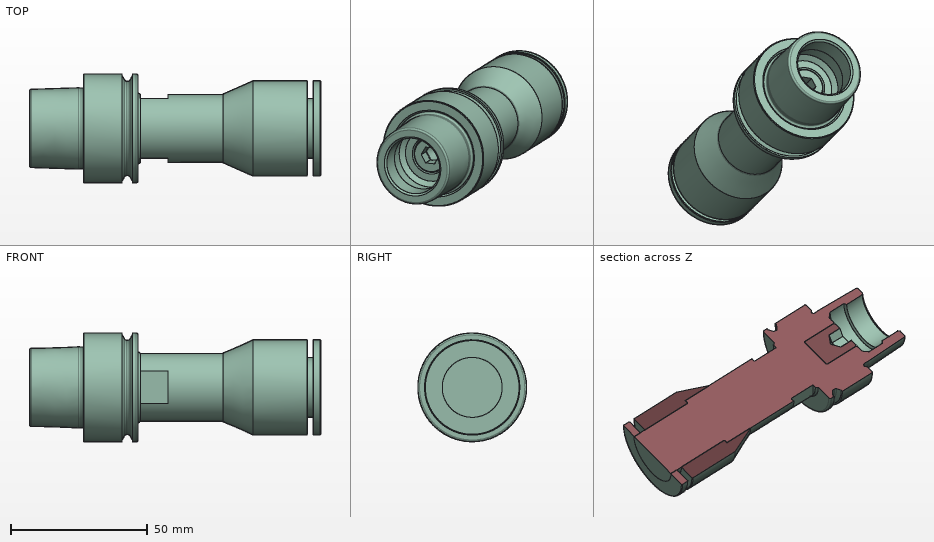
import cadquery as cq
import math


total_length = 106.9
nose_length = 19.7
tip_x = -nose_length
end_x = tip_x + total_length
tip_radius = 28.8 / 2
tip_rounding = 0.7
taper_end_x = -1.7
taper_end_radius = 29.9 / 2
neck_start_x = -0.9
neck_radius = 29.71 / 2
relief_radius = 32.8 / 2
relief_depth = 0.6
relief_corner_rounding = 0.8

flange_radius = 40 / 2
flange_length = 20.1
flange_front_chamfer = 0.3
flange_back_rounding = 0.7
groove_center_x = 16.15
groove_bottom_radius = 34.75 / 2
groove_width = 3.75
groove_flat_width = 0.6
groove_bottom_rounding = 0.75
groove_flank_angle = 30

shank_radius = 25 / 2
collar_radius = 26.2 / 2
collar_length = 0.9
flats_width = 22
flats_length = 10.0

bore_radius = 21 / 2
bore_mouth_chamfer = 0.7
bore_land_length = 8.0
clamp_groove_radius = 23 / 2
clamp_cone_angle = 60
bore_floor_radius = 19.5 / 2
bore_depth = 16.7

screw_radius = 13 / 2
screw_length = 14.0
screw_chamfer = 0.4
screw_hole_chamfer = 0.5
hex_sides = 6
hex_across_flats = 6.0
hex_depth = 5.0
hex_point_angle = 118

sleeve_start_x = 51.2
sleeve_end_x = 82.3
sleeve_radius = 35 / 2
sleeve_cone_start_radius = 25.5 / 2
sleeve_taper_length = 11.1
sleeve_entry_length = 0.3
sleeve_chamfer = 0.3

core_radius = 22 / 2
core_start_x = sleeve_start_x + sleeve_taper_length
ring_length = 3.0
ring_chamfer = 0.3


def turned(profile):
    """Revolve a closed (x, radius) profile about the X axis."""
    return profile.close().revolve(360, (0, 0, 0), (1, 0, 0))


def cylinder(start_x, stop_x, radius):
    return cq.Workplane("YZ").workplane(offset=start_x).circle(radius).extrude(stop_x - start_x)


def make_holder_blank():
    collar_end_x = flange_length + collar_length
    profile = (
        cq.Workplane("XY")
        .moveTo(tip_x, 0)
        .lineTo(tip_x, tip_radius - tip_rounding)
        .radiusArc((tip_x + tip_rounding, tip_radius), tip_rounding)
        .lineTo(taper_end_x, taper_end_radius)
        .lineTo(neck_start_x, neck_radius)
        .lineTo(relief_depth - relief_corner_rounding, neck_radius)
        .radiusArc((relief_depth, neck_radius + relief_corner_rounding), -relief_corner_rounding)
        .lineTo(relief_depth, relief_radius - relief_depth)
        .lineTo(0, relief_radius)
        .lineTo(0, flange_radius - flange_front_chamfer)
        .lineTo(flange_front_chamfer, flange_radius)
        .lineTo(flange_length - flange_back_rounding, flange_radius)
        .radiusArc((flange_length, flange_radius - flange_back_rounding), flange_back_rounding)
        .lineTo(flange_length, collar_radius)
        .lineTo(collar_end_x, shank_radius)
        .lineTo(core_start_x, shank_radius)
        .lineTo(core_start_x, core_radius)
        .lineTo(end_x, core_radius)
        .lineTo(end_x, 0)
    )
    return turned(profile)


def make_gripper_groove():
    flank_slope = math.tan(math.radians(groove_flank_angle))
    half_top = groove_width / 2
    half_bottom = groove_flat_width / 2 + groove_bottom_rounding * flank_slope
    flank_top_radius = groove_bottom_radius + (half_top - half_bottom) / flank_slope
    section = (
        cq.Workplane("XY")
        .moveTo(groove_center_x - half_bottom, groove_bottom_radius)
        .lineTo(groove_center_x + half_bottom, groove_bottom_radius)
        .lineTo(groove_center_x + half_top, flank_top_radius)
        .lineTo(groove_center_x + half_top, flange_radius)
        .lineTo(groove_center_x - half_top, flange_radius)
        .lineTo(groove_center_x - half_top, flank_top_radius)
    )
    bottom_edges = cq.selectors.RadiusNthSelector(0)
    return turned(section).edges(bottom_edges).fillet(groove_bottom_rounding)


def make_bore():
    land_end_x = tip_x + bore_land_length
    floor_x = tip_x + bore_depth
    clamp_step = clamp_groove_radius - bore_radius
    floor_bevel = clamp_groove_radius - bore_floor_radius
    profile = (
        cq.Workplane("XY")
        .moveTo(tip_x, 0)
        .lineTo(tip_x, bore_radius + bore_mouth_chamfer)
        .lineTo(tip_x + bore_mouth_chamfer, bore_radius)
        .lineTo(land_end_x, bore_radius)
        .lineTo(land_end_x + clamp_step / math.tan(math.radians(clamp_cone_angle)), clamp_groove_radius)
        .lineTo(floor_x - floor_bevel, clamp_groove_radius)
        .lineTo(floor_x, bore_floor_radius)
        .lineTo(floor_x, 0)
    )
    return turned(profile)


def make_wrench_flats():
    start_x = flange_length + collar_length
    cutters = cq.Workplane("XY")
    for side in (-1, 1):
        cutter = cq.Workplane("XY").box(flats_length, shank_radius, 2 * shank_radius)
        y = side * (flats_width + shank_radius) / 2
        cutters = cutters.add(cutter.translate((start_x + flats_length / 2, y, 0)))
    return cutters.combine()


def make_screw_hole_countersink(start_x):
    profile = (
        cq.Workplane("XY")
        .moveTo(start_x, 0)
        .lineTo(start_x, screw_radius + screw_hole_chamfer)
        .lineTo(start_x + screw_hole_chamfer, screw_radius)
        .lineTo(start_x + screw_hole_chamfer, 0)
    )
    return turned(profile)


def make_holder():
    screw_start_x = tip_x + bore_depth
    screw_hole = cylinder(screw_start_x, screw_start_x + screw_length, screw_radius)
    screw_hole = screw_hole.union(make_screw_hole_countersink(screw_start_x))
    holder = make_holder_blank().cut(make_gripper_groove()).cut(make_bore())
    return holder.cut(screw_hole).cut(make_wrench_flats())


def make_clamping_screw():
    start_x = tip_x + bore_depth
    screw = cylinder(start_x, start_x + screw_length, screw_radius)
    screw = screw.faces("<X").chamfer(screw_chamfer)
    corner_radius = hex_across_flats / 2 / math.cos(math.pi / hex_sides)
    socket = (
        cq.Workplane("YZ")
        .workplane(offset=start_x)
        .polygon(hex_sides, 2 * corner_radius)
        .extrude(hex_depth)
    )
    point_length = corner_radius / math.tan(math.radians(hex_point_angle / 2))
    point = turned(
        cq.Workplane("XY")
        .moveTo(start_x + hex_depth, 0)
        .lineTo(start_x + hex_depth, corner_radius)
        .lineTo(start_x + hex_depth + point_length, 0)
    )
    return screw.cut(socket).cut(point)


def make_sleeve():
    profile = (
        cq.Workplane("XY")
        .moveTo(sleeve_start_x, shank_radius)
        .lineTo(sleeve_start_x + sleeve_entry_length, sleeve_cone_start_radius)
        .lineTo(core_start_x, sleeve_radius)
        .lineTo(sleeve_end_x - sleeve_chamfer, sleeve_radius)
        .lineTo(sleeve_end_x, sleeve_radius - sleeve_chamfer)
        .lineTo(sleeve_end_x, core_radius)
        .lineTo(core_start_x, core_radius)
        .lineTo(core_start_x, shank_radius)
    )
    return turned(profile)


def make_end_ring():
    ring = cylinder(end_x - ring_length, end_x, sleeve_radius).faces("<X or >X").chamfer(ring_chamfer)
    return ring.cut(cylinder(end_x - ring_length, end_x, core_radius))


holder = make_holder()
clamping_screw = make_clamping_screw()
sleeve = make_sleeve()
end_ring = make_end_ring()

result = cq.Compound.makeCompound([holder.val(), clamping_screw.val(), sleeve.val(), end_ring.val()])